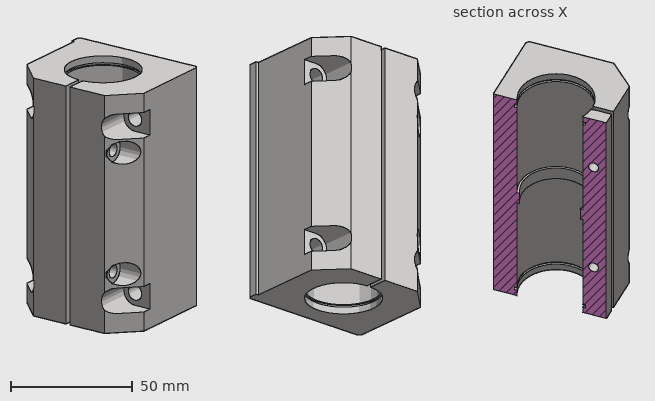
import cadquery as cq

length = 104.0
width = 60.0
depth = 50.0
half_length = length / 2
right_x = width / 2
left_x = -right_x
front_y = -depth / 2
back_y = depth / 2

ledge_projection = 1.1
ledge_depth = 5.0
back_chamfer = 1.0
front_chamfer = 11.5

bearing_diameter = 31.9
shoulder_diameter = 30.0
shoulder_length = 5.6
ring_groove_diameter = 33.9
ring_groove_width = 1.1
ring_groove_inset = 3.0
slot_width = 2.0

mount_hole_diameter = 6.7
mount_spacing_x = 44.9
mount_spacing_z = 76.0
seat_width = 11.1
seat_depth = 15.9

screw_head_diameter = 10.0
screw_clearance_diameter = 5.5
screw_thread_diameter = 4.3
screw_spacing_z = 53.0
screw_y = -19.3
screw_seat_x = 18.7
screw_end_x = -12.5


def make_body():
    """Block with a locating ledge on its left side and chamfered corners."""
    side_x = left_x + ledge_projection
    points = [
        (side_x + front_chamfer, front_y),
        (right_x - front_chamfer, front_y),
        (right_x, front_y + front_chamfer),
        (right_x, back_y - back_chamfer),
        (right_x - back_chamfer, back_y),
        (left_x + back_chamfer, back_y),
        (left_x, back_y - back_chamfer),
        (left_x, back_y - ledge_depth),
        (side_x, back_y - ledge_depth),
        (side_x, front_y + front_chamfer),
    ]
    return cq.Workplane("XY").polyline(points).close().extrude(half_length, both=True)


def z_cylinder(diameter, z_start, height):
    return cq.Workplane("XY", origin=(0, 0, z_start)).circle(diameter / 2).extrude(height)


def make_bore():
    """Two bearing bores split by a central shoulder, each with a retaining ring groove."""
    bearing_length = (length - shoulder_length) / 2
    groove_top = half_length - ring_groove_inset
    bore = z_cylinder(shoulder_diameter, -half_length, length)
    bore = bore.union(z_cylinder(bearing_diameter, shoulder_length / 2, bearing_length))
    bore = bore.union(z_cylinder(bearing_diameter, -half_length, bearing_length))
    for z_start in (groove_top - ring_groove_width, -groove_top):
        bore = bore.union(z_cylinder(ring_groove_diameter, z_start, ring_groove_width))
    return bore


def make_slot():
    """Clamping slot from the bore axis out through the front face."""
    return cq.Workplane("XY").box(slot_width, -front_y, length).translate((0, front_y / 2, 0))


def make_mount(side, z):
    """Through hole along Y with a round-ended seat open toward one side."""
    x = side * mount_spacing_x / 2
    front_plane = cq.Workplane("XZ", origin=(x, front_y, z))
    hole = front_plane.circle(mount_hole_diameter / 2).extrude(-depth)
    seat = front_plane.circle(seat_width / 2).extrude(-seat_depth)
    side_opening = (
        front_plane.center(side * seat_width / 2, 0).rect(seat_width, seat_width).extrude(-seat_depth)
    )
    return hole.union(seat).union(side_opening)


def x_cylinder(diameter, x_start, x_end, z):
    start_plane = cq.Workplane("YZ", origin=(x_start, screw_y, z))
    return start_plane.circle(diameter / 2).extrude(x_end - x_start)


def make_clamp_screw(z):
    """Head recess, clearance hole up to the slot, and blind thread hole beyond it."""
    head = x_cylinder(screw_head_diameter, screw_seat_x, right_x, z)
    clearance = x_cylinder(screw_clearance_diameter, 0, screw_seat_x, z)
    thread = x_cylinder(screw_thread_diameter, screw_end_x, 0, z)
    return head.union(clearance).union(thread)


result = make_body().cut(make_bore()).cut(make_slot())
for end in (-1, 1):
    for side in (-1, 1):
        result = result.cut(make_mount(side, end * mount_spacing_z / 2))
    result = result.cut(make_clamp_screw(end * screw_spacing_z / 2))